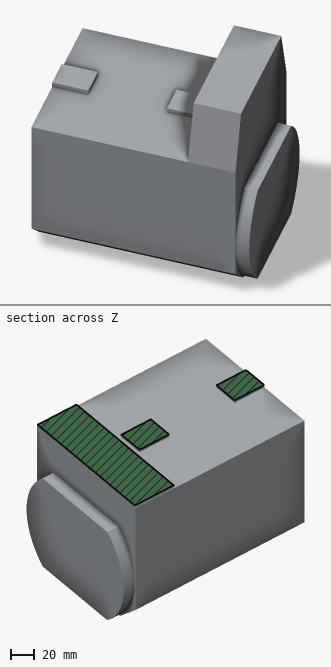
import cadquery as cq

body_length = 183.1
body_width = 135.0
body_height = 135.3
bottom_chamfer = 20.9

overall_height = 190.0
head_length = 42.5
head_top_width = 106.0

overall_length = 195.0
flange_diameter = 133.0
flange_height = 99.3

pad_width = 25.4
pad_height = 4.9
pad_length = 32.4
pad_starts = (0.0, 103.0)


def make_body():
    """Long housing with both lower edges chamfered."""
    block = cq.Workplane("XY").box(
        body_length, body_width, body_height, centered=(False, True, False)
    )
    return block.faces("<Z").edges("|X").chamfer(bottom_chamfer)


def make_head():
    """Trapezoidal prism narrowing symmetrically towards the top."""
    return (
        cq.Workplane("YZ", origin=(body_length - head_length, 0, 0))
        .moveTo(-body_width / 2, body_height)
        .lineTo(body_width / 2, body_height)
        .lineTo(head_top_width / 2, overall_height)
        .lineTo(-head_top_width / 2, overall_height)
        .close()
        .extrude(head_length)
    )


def make_flange():
    """Disc trimmed to flats, its lower flat level with the housing bottom."""
    thickness = overall_length - body_length
    disc = (
        cq.Workplane("YZ", origin=(body_length, 0, flange_height / 2))
        .circle(flange_diameter / 2)
        .extrude(thickness)
    )
    trim = (
        cq.Workplane("XY", origin=(body_length, 0, 0))
        .box(thickness, flange_diameter, flange_height, centered=(False, True, False))
    )
    return disc.intersect(trim)


def make_pad(start):
    """Flat rectangular pad on the roof, beginning at the given X."""
    return (
        cq.Workplane("XY", origin=(start, 0, body_height))
        .box(pad_length, pad_width, pad_height, centered=(False, True, False))
    )


result = make_body().union(make_head()).union(make_flange())
for pad_start in pad_starts:
    result = result.union(make_pad(pad_start))